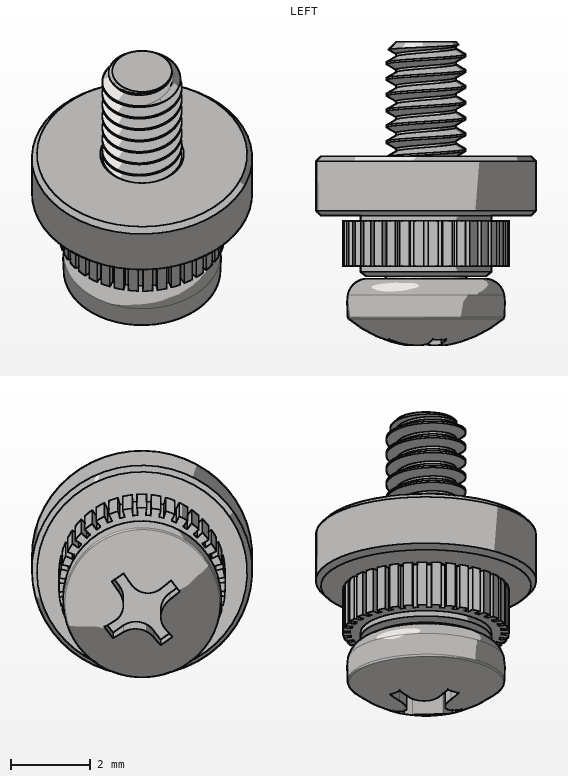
import cadquery as cq
import math

COLLAR_RADIUS = 2.78
COLLAR_HEIGHT = 1.5
COLLAR_CHAMFER = 0.13
SLEEVE_RADIUS = 1.655
SLEEVE_BOTTOM = 1.74
SLEEVE_LENGTH = 1.53
SLEEVE_CHAMFER_WIDTH = 0.145
SLEEVE_CHAMFER_HEIGHT = 0.115
COLLAR_BOTTOM = SLEEVE_BOTTOM + SLEEVE_LENGTH
COLLAR_TOP = COLLAR_BOTTOM + COLLAR_HEIGHT

KNURL_RADIUS = 2.1
KNURL_BOTTOM = 2.0
KNURL_HEIGHT = 1.14
KNURL_GROOVES = 36
KNURL_GROOVE_WIDTH = 0.12
KNURL_GROOVE_DEPTH = 0.19

TOTAL_HEIGHT = 7.66
SHANK_RADIUS = 1.0
HOLE_COUNTERSINK = 0.05
TIP_CHAMFER = 0.25

SCREW_ANGLE = 199.0

THREAD_PITCH = 0.4
FLANK_ANGLE = math.radians(30)
ROOT_WIDTH = THREAD_PITCH / 6
CREST_WIDTH = THREAD_PITCH / 8
THREAD_DEPTH = (THREAD_PITCH - ROOT_WIDTH - CREST_WIDTH) / 2 / math.tan(FLANK_ANGLE)
ROOT_RADIUS = SHANK_RADIUS - THREAD_DEPTH
THREAD_TURNS = 9
GROOVE_START = 4.25
GROOVE_OVERSHOOT = 0.02

RECESS_SPAN = 2.08
RECESS_ARM_WIDTH = 0.37
RECESS_CORNER_RADIUS = 0.545
RECESS_TOP = 0.61
RECESS_INNER_RADIUS = math.sqrt(2) * (RECESS_ARM_WIDTH / 2 + RECESS_CORNER_RADIUS) - RECESS_CORNER_RADIUS

HEAD_TOP = 1.685
HEAD_TOP_RADIUS = 1.525
HEAD_RADIUS = 2.0
HEAD_SIDE_RADIUS = 1.98
HEAD_SIDE_TOP = 1.28
HEAD_EDGE_BULGE = 0.1
HEAD_RIM_FILLET = 0.085
NECK_FILLET = SLEEVE_BOTTOM - HEAD_TOP
DOME_RADIUS = 3.05
DOME_CENTRE = math.sqrt(DOME_RADIUS**2 - RECESS_INNER_RADIUS**2)
DOME_APEX = DOME_CENTRE - DOME_RADIUS
HEAD_SIDE_BOTTOM = DOME_CENTRE - math.sqrt(DOME_RADIUS**2 - HEAD_SIDE_RADIUS**2)


def point_on_arc(centre, radius, angle):
    """Point at the given angle on a circle in the radius-height plane."""
    return (centre[0] + radius * math.cos(angle), centre[1] + radius * math.sin(angle))


def disc(bottom, radius, height):
    """Cylinder about the Z axis."""
    return cq.Workplane("XY").workplane(offset=bottom).circle(radius).extrude(height)


def make_sleeve():
    collar = disc(COLLAR_BOTTOM, COLLAR_RADIUS, COLLAR_HEIGHT).edges("%CIRCLE").chamfer(COLLAR_CHAMFER)
    barrel = disc(SLEEVE_BOTTOM, SLEEVE_RADIUS, SLEEVE_LENGTH)
    barrel = barrel.faces("<Z").chamfer(SLEEVE_CHAMFER_HEIGHT, SLEEVE_CHAMFER_WIDTH)
    hole = disc(SLEEVE_BOTTOM, SHANK_RADIUS, COLLAR_TOP - SLEEVE_BOTTOM)
    body = collar.union(barrel).union(make_knurl()).cut(hole)
    hole_rim = body.faces(">Z").edges("%CIRCLE").edges(cq.selectors.RadiusNthSelector(0))
    return hole_rim.chamfer(HOLE_COUNTERSINK)


def make_knurl():
    grooves = (
        cq.Workplane("XY")
        .workplane(offset=KNURL_BOTTOM)
        .polarArray(KNURL_RADIUS, 0, 360, KNURL_GROOVES)
        .rect(2 * KNURL_GROOVE_DEPTH, KNURL_GROOVE_WIDTH)
        .extrude(KNURL_HEIGHT)
    )
    return disc(KNURL_BOTTOM, KNURL_RADIUS, KNURL_HEIGHT).cut(grooves)


def make_head_and_shank():
    neck_centre = (SHANK_RADIUS + NECK_FILLET, SLEEVE_BOTTOM)
    dome_edge_angle = math.asin(HEAD_SIDE_RADIUS / DOME_RADIUS)
    profile = (
        cq.Workplane("XZ")
        .moveTo(0, DOME_APEX)
        .threePointArc(
            point_on_arc((0, DOME_CENTRE), DOME_RADIUS, dome_edge_angle / 2 - math.pi / 2),
            (HEAD_SIDE_RADIUS, HEAD_SIDE_BOTTOM),
        )
        .threePointArc(
            (HEAD_RADIUS, (HEAD_SIDE_BOTTOM + HEAD_SIDE_TOP) / 2),
            (HEAD_SIDE_RADIUS, HEAD_SIDE_TOP),
        )
        .sagittaArc((HEAD_TOP_RADIUS, HEAD_TOP), -HEAD_EDGE_BULGE)
        .lineTo(neck_centre[0], HEAD_TOP)
        .threePointArc(
            point_on_arc(neck_centre, NECK_FILLET, 1.25 * math.pi),
            (SHANK_RADIUS, SLEEVE_BOTTOM),
        )
        .lineTo(SHANK_RADIUS, TOTAL_HEIGHT - TIP_CHAMFER)
        .lineTo(SHANK_RADIUS - TIP_CHAMFER, TOTAL_HEIGHT)
        .lineTo(0, TOTAL_HEIGHT)
        .close()
    )
    rim = cq.selectors.NearestToPointSelector((0, 0, HEAD_SIDE_BOTTOM))
    blank = profile.revolve(360, (0, 0, 0), (0, 1, 0))
    return blank.edges("%CIRCLE").edges(rim).fillet(HEAD_RIM_FILLET)


def make_thread_groove():
    """Helical V-groove with a flat root, running out past the tip of the screw."""
    root_half = ROOT_WIDTH / 2
    mouth_radius = SHANK_RADIUS + GROOVE_OVERSHOOT
    mouth_half = root_half + (mouth_radius - ROOT_RADIUS) * math.tan(FLANK_ANGLE)
    section = [
        (ROOT_RADIUS, -root_half),
        (mouth_radius, -mouth_half),
        (mouth_radius, mouth_half),
        (ROOT_RADIUS, root_half),
    ]
    rise = THREAD_PITCH * THREAD_TURNS
    helices = [
        cq.Wire.makeHelix(THREAD_PITCH, rise, radius, cq.Vector(0, 0, GROOVE_START + height))
        for radius, height in section
    ]
    next_helices = helices[1:] + helices[:1]
    sides = [cq.Face.makeRuledSurface(one, other) for one, other in zip(helices, next_helices)]
    start_points = [cq.Vector(radius, 0, GROOVE_START + height) for radius, height in section]
    start = cq.Face.makeFromWires(cq.Wire.makePolygon(start_points, close=True))
    end = start.translate(cq.Vector(0, 0, rise))
    shell = cq.Shell.makeShell([start, end] + [face for side in sides for face in side.Faces()])
    groove = cq.Workplane(cq.Solid.makeSolid(shell))
    return groove.rotate((0, 0, 0), (0, 0, 1), SCREW_ANGLE)


def make_recess():
    length = RECESS_TOP - DOME_APEX
    base = cq.Workplane("XY").workplane(offset=DOME_APEX)
    arm = base.rect(RECESS_SPAN, RECESS_ARM_WIDTH).extrude(length)
    cross = arm.union(base.rect(RECESS_ARM_WIDTH, RECESS_SPAN).extrude(length))
    reach = RECESS_ARM_WIDTH
    corners = cq.selectors.BoxSelector((-reach, -reach, DOME_APEX), (reach, reach, RECESS_TOP))
    cross = cross.edges("|Z").edges(corners).fillet(RECESS_CORNER_RADIUS)
    return cross.rotate((0, 0, 0), (0, 0, 1), SCREW_ANGLE)


def make_screw():
    return make_head_and_shank().cut(make_thread_groove()).cut(make_recess())


sleeve = make_sleeve()
screw = make_screw()
result = cq.Compound.makeCompound([sleeve.solids().val(), screw.solids().val()])